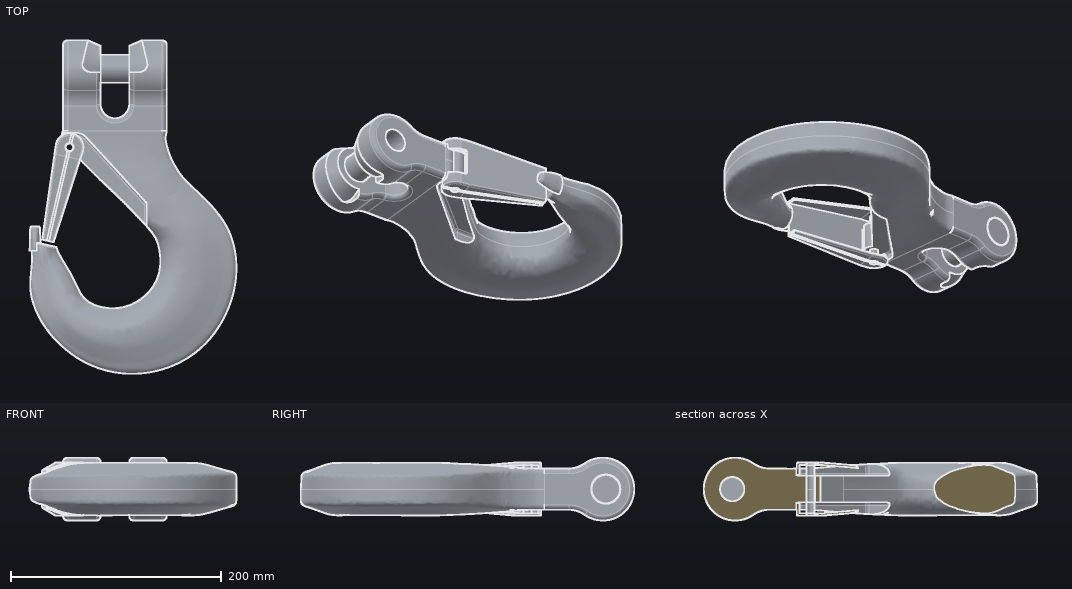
import cadquery as cq
import math


CLEVIS_HALF_WIDTH = 49.5
EAR_RADIUS = 30.07
EAR_OFFSET = -3.0
NECK_HALF_HEIGHT = 19.7
NECK_BLEND_Y = -35.3
NECK_END_Y = -59.0
EAR_EDGE_FILLET = 4.8
SLOT_WIDTH = 27.0
SLOT_END_Y = -47.0
SLOT_FILLET = 4.5

RELIEF_FACE_RADIUS = 22.0
RELIEF_SLOPE = 0.43
RELIEF_HALF_WIDTH = 31.2
RELIEF_END_Y = -3.2
RELIEF_CORNER = 8.3

PIN_DIAMETER = 27.0
PIN_HOLE_DIAMETER = 28.0
DRIVE_HOLE_DIAMETER = 23.0
PIN_SHOULDER_X = -22.3

BOWL_HALF_HEIGHT = 25.0
OUTER_RADIUS = 98.5
OUTER_CENTER = (16.7, -192.2)
INNER_RADIUS = 45.8
INNER_CENTER = (-2.2, -182.3)
FLAT_SHARE = 0.38

TIP_OUTER_X = -81.5
TIP_TOP_Y = -150.0
TIP_BASE_Y = -173.5
TIP_BASE_HALF_HEIGHT = 10.5
TIP_MIDDLE_HALF_HEIGHT = 9.2
TIP_END_HALF_HEIGHT = 4.8
TIP_BASE_HALF_DEPTH = 5.5
TIP_END_HALF_DEPTH = 4.8
TIP_END_FILLET = 2.2
SEAT_FILLET = 1.5

LUG_HALF_HEIGHT = 12.7
LUG_RADIUS = 9.5
RECESS_TOP_Y = -61.0
RECESS_CORNER_X = -31.2
RECESS_END_X = 30.5
RECESS_END_Y = -128.2
RECESS_START_FILLET = 12.7
RECESS_END_FILLET = 4.8
RECESS_FLOOR_FILLET = 2.5

PIVOT = (-43.3, -74.8)
LATCH_TILT = 13.0
LATCH_LENGTH = 91.5
LATCH_RADIUS = 13.5
LATCH_END_HALF_WIDTH = 5.7
LATCH_HALF_HEIGHT = 25.5
LATCH_END_HALF_HEIGHT = 18.5
LATCH_STRAIGHT = 9.2
LATCH_SHEET = 2.5
LATCH_EDGE_FILLET = 1.5
CREASE_WIDTH = 2.2
CREASE_DEPTH = 0.5
WINDOW_HALF_HEIGHT = 13.5
WINDOW_END_Y = -79.0
WINDOW_CORNER = 2.5
LATCH_PIN_DIAMETER = 8.0
LATCH_PIN_BORE = 7.0


def along_x(diameter, start, end):
    """A cylinder on the load pin axis."""
    return cq.Workplane("YZ").workplane(offset=start).circle(diameter / 2).extrude(end - start)


def along_pivot(diameter, half_length):
    """A cylinder on the latch pivot, centred on Z = 0."""
    return cq.Workplane("XY").center(*PIVOT).circle(diameter / 2).extrude(half_length, both=True)


def clevis_blank():
    """The ears and the neck: a Y-Z profile extruded across the width."""
    run = EAR_OFFSET - NECK_BLEND_Y
    blend_radius = (run**2 + NECK_HALF_HEIGHT**2 - EAR_RADIUS**2) / (2 * (EAR_RADIUS - NECK_HALF_HEIGHT))
    blend_z = NECK_HALF_HEIGHT + blend_radius
    share = EAR_RADIUS / (EAR_RADIUS + blend_radius)
    tangent = (EAR_OFFSET - run * share, blend_z * share)
    half_turn = math.atan2(run, blend_z) / 2
    middle = (
        NECK_BLEND_Y + blend_radius * math.sin(half_turn),
        blend_z - blend_radius * math.cos(half_turn),
    )
    return (
        cq.Workplane("YZ")
        .workplane(offset=-CLEVIS_HALF_WIDTH)
        .moveTo(NECK_END_Y, -NECK_HALF_HEIGHT)
        .lineTo(NECK_BLEND_Y, -NECK_HALF_HEIGHT)
        .threePointArc((middle[0], -middle[1]), (tangent[0], -tangent[1]))
        .threePointArc((EAR_OFFSET + EAR_RADIUS, 0), tangent)
        .threePointArc(middle, (NECK_BLEND_Y, NECK_HALF_HEIGHT))
        .lineTo(NECK_END_Y, NECK_HALF_HEIGHT)
        .close()
        .extrude(2 * CLEVIS_HALF_WIDTH)
        .faces("<X or >X")
        .edges("not <Y")
        .fillet(EAR_EDGE_FILLET)
    )


def slot_cutter():
    """The round-ended slot between the ears."""
    center_y = SLOT_END_Y + SLOT_WIDTH / 2
    half = SLOT_WIDTH / 2
    return (
        cq.Workplane("XY")
        .moveTo(half, center_y)
        .lineTo(half, EAR_RADIUS)
        .lineTo(-half, EAR_RADIUS)
        .lineTo(-half, center_y)
        .threePointArc((0, SLOT_END_Y), (half, center_y))
        .close()
        .extrude(EAR_RADIUS + 3.2, both=True)
    )


def slot_rims():
    """Selects the two closed edges where the slot leaves the ears and the neck."""
    reach = SLOT_WIDTH / 2 + 0.3
    around_slot = cq.selectors.BoxSelector(
        (-reach, SLOT_END_Y - 0.3, -2 * EAR_RADIUS),
        (reach, 2 * EAR_RADIUS, 2 * EAR_RADIUS),
        boundingbox=True,
    )
    return around_slot - cq.selectors.ParallelDirSelector(cq.Vector(0, 0, 1))


def relief_cutter():
    """Material outside the relief cones, limited to the open end of the ears."""
    reach = RELIEF_HALF_WIDTH
    end_radius = RELIEF_FACE_RADIUS + RELIEF_SLOPE * (reach - SLOT_WIDTH / 2)
    zone = (
        cq.Workplane("XY")
        .rect(2 * reach, 4 * EAR_RADIUS)
        .extrude(2 * EAR_RADIUS, both=True)
        .translate((0, RELIEF_END_Y + 2 * EAR_RADIUS, 0))
        .edges("|Z and <Y")
        .fillet(RELIEF_CORNER)
    )
    core = (
        cq.Workplane("XY")
        .moveTo(-reach, 0)
        .lineTo(-reach, end_radius)
        .lineTo(-SLOT_WIDTH / 2, RELIEF_FACE_RADIUS)
        .lineTo(SLOT_WIDTH / 2, RELIEF_FACE_RADIUS)
        .lineTo(reach, end_radius)
        .lineTo(reach, 0)
        .close()
        .revolve(360, (0, 0, 0), (1, 0, 0))
    )
    return zone.cut(core)


def bowl_points(angle):
    """The inner and outer outline points on a ray from the inner circle's centre."""
    ray = (math.cos(math.radians(angle)), math.sin(math.radians(angle)))
    offset = (OUTER_CENTER[0] - INNER_CENTER[0], OUTER_CENTER[1] - INNER_CENTER[1])
    along = offset[0] * ray[0] + offset[1] * ray[1]
    across = offset[0] * ray[1] - offset[1] * ray[0]
    outer_reach = along + math.sqrt(OUTER_RADIUS**2 - across**2)
    return [
        (INNER_CENTER[0] + reach * ray[0], INNER_CENTER[1] + reach * ray[1])
        for reach in (INNER_RADIUS, outer_reach)
    ]


def section(inner, outer, height, edge_height, inner_round, inner_rise, edge_round):
    """A closed hook section standing on the line from inner to outer.

    It is `height` tall on each side, rounded at the inner side over inner_round x inner_rise,
    and slopes to edge_height before the outer edge is rounded.
    """
    width = math.dist(inner, outer)
    across = ((outer[0] - inner[0]) / width, (outer[1] - inner[1]) / width)

    def place(s, z):
        return cq.Vector(inner[0] + s * across[0], inner[1] + s * across[1], z)

    def heading(s, z):
        return cq.Vector(s * across[0], s * across[1], z)

    crest = max(FLAT_SHARE * width, inner_round + 0.1 * width)
    slope = (width - edge_round - crest, edge_height - height)
    knots = [
        ((0, 0), (0, 1)),
        ((0, height - inner_rise), (0, 1)),
        ((inner_round, height), (1, 0)),
        ((crest, height), (1, 0)),
        ((width - edge_round, edge_height), slope),
        ((width, edge_height - edge_round), (0, -1)),
        ((width, 0), (0, -1)),
    ]
    upper = cq.Edge.makeSpline(
        [place(s, z) for (s, z), _ in knots],
        [heading(*direction) for _, direction in knots],
    )
    return cq.Wire.assembleEdges([upper, upper.mirror("XY")])


def hook_arm():
    """One smooth loft from the neck, around the bowl, to the seat of the latch."""
    neck = NECK_HALF_HEIGHT
    full = BOWL_HALF_HEIGHT
    side = CLEVIS_HALF_WIDTH
    edge = EAR_EDGE_FILLET
    stations = [
        section((-side, NECK_END_Y), (side, NECK_END_Y), neck, neck, edge, edge, edge),
        section((-side, -69.0), (side, -73.8), neck, neck, edge, edge, edge),
        section((-9.5, -109.8), (58.0, -93.2), 22.3, 19.7, 5.7, 5.7, 5.7),
        section(*bowl_points(45), 24.2, 19.0, 12.7, 11.0, 6.5),
    ]
    for angle in (20, -15, -50, -85):
        stations.append(section(*bowl_points(angle), full, 17.2, 22.3, 19.0, 6.5))
    stations += [
        section(*bowl_points(-120), 24.2, 17.0, 22.3, 19.0, 6.5),
        section((-33.7, -212.0), (-71.3, -238.5), 21.0, 15.3, 16.0, 16.5, 6.5),
        section((-42.5, -194.0), (-80.8, -206.8), 16.5, 12.7, 14.0, 14.0, 6.5),
        section((-55.0, -170.0), (-81.5, -164.0), 11.5, 9.0, 10.2, 10.0, 5.7),
    ]
    arm = cq.Workplane(cq.Solid.makeLoft(stations))
    seat = cq.selectors.NearestToPointSelector((-66.8, -166.7, 0))
    return arm.faces(seat).edges().fillet(SEAT_FILLET)


def throat_cutter():
    """Trims the shank to a flat 45 degree wall between the latch lug and the bowl."""
    tangent = bowl_points(45)[0]
    rise = tangent[0] + CLEVIS_HALF_WIDTH
    return (
        cq.Workplane("XY")
        .polyline([
            tangent,
            (-CLEVIS_HALF_WIDTH, tangent[1] + rise),
            (-CLEVIS_HALF_WIDTH, tangent[1]),
        ])
        .close()
        .extrude(2 * BOWL_HALF_HEIGHT, both=True)
    )


def hook_tip():
    """The narrow point that stands up outside the latch."""
    base_center = (TIP_OUTER_X + TIP_BASE_HALF_DEPTH, TIP_BASE_Y)
    half_run = (TIP_TOP_Y - TIP_BASE_Y) / 2
    middle_half_depth = (TIP_BASE_HALF_DEPTH + TIP_END_HALF_DEPTH) / 2
    return (
        cq.Workplane("ZX", origin=(base_center[0], base_center[1], 0))
        .ellipse(TIP_BASE_HALF_HEIGHT, TIP_BASE_HALF_DEPTH)
        .workplane(offset=half_run)
        .ellipse(TIP_MIDDLE_HALF_HEIGHT, middle_half_depth)
        .workplane(offset=half_run)
        .ellipse(TIP_END_HALF_HEIGHT, TIP_END_HALF_DEPTH)
        .loft()
        .faces(">Y")
        .edges()
        .fillet(TIP_END_FILLET)
    )


def recess_cutters():
    """The pockets above and below the latch lug, open to the throat."""
    throat_x = RECESS_END_X
    outline = (
        cq.Workplane("XY")
        .moveTo(-2 * CLEVIS_HALF_WIDTH, RECESS_TOP_Y)
        .lineTo(RECESS_CORNER_X, RECESS_TOP_Y)
        .lineTo(throat_x, RECESS_END_Y)
        .lineTo(throat_x, RECESS_END_Y - 25.5)
        .lineTo(-2 * CLEVIS_HALF_WIDTH, RECESS_TOP_Y - 6.5)
        .close()
        .extrude(BOWL_HALF_HEIGHT)
        .edges(cq.selectors.NearestToPointSelector((RECESS_CORNER_X, RECESS_TOP_Y, BOWL_HALF_HEIGHT / 2)))
        .fillet(RECESS_START_FILLET)
        .edges(cq.selectors.NearestToPointSelector((throat_x, RECESS_END_Y, BOWL_HALF_HEIGHT / 2)))
        .fillet(RECESS_END_FILLET)
        .faces("<Z")
        .edges()
        .fillet(RECESS_FLOOR_FILLET)
    )
    upper = outline.translate((0, 0, LUG_HALF_HEIGHT))
    return upper.union(upper.mirror("XY"))


def make_hook():
    clevis = clevis_blank().cut(slot_cutter())
    clevis = clevis.edges(slot_rims()).fillet(SLOT_FILLET)
    clevis = clevis.cut(relief_cutter())
    body = clevis.union(hook_arm().cut(throat_cutter())).union(hook_tip())
    body = body.cut(recess_cutters())
    body = body.union(along_pivot(2 * LUG_RADIUS, LUG_HALF_HEIGHT))
    body = body.cut(along_x(PIN_HOLE_DIAMETER, PIN_SHOULDER_X, CLEVIS_HALF_WIDTH))
    body = body.cut(along_x(DRIVE_HOLE_DIAMETER, -CLEVIS_HALF_WIDTH, PIN_SHOULDER_X))
    return body.cut(along_pivot(LATCH_PIN_DIAMETER, LATCH_HALF_HEIGHT))


def make_load_pin():
    return along_x(PIN_DIAMETER, PIN_SHOULDER_X, CLEVIS_HALF_WIDTH)


def latch_outline(inset):
    """Tapered plate with a round pivot end, inset on all sides but the free end."""
    radius = LATCH_RADIUS - inset
    end = LATCH_END_HALF_WIDTH - inset
    return (
        cq.Workplane("XY")
        .moveTo(0, -radius)
        .threePointArc((-radius, 0), (0, radius))
        .lineTo(LATCH_LENGTH, end)
        .lineTo(LATCH_LENGTH, -end)
        .close()
    )


def latch_envelope(inset):
    """Side profile of the latch: the two flanges converge towards the free end."""
    tall = LATCH_HALF_HEIGHT - inset
    low = LATCH_END_HALF_HEIGHT - inset
    return (
        cq.Workplane("XZ")
        .polyline([
            (-LATCH_RADIUS, -tall),
            (LATCH_STRAIGHT, -tall),
            (LATCH_LENGTH, -low),
            (LATCH_LENGTH, low),
            (LATCH_STRAIGHT, tall),
            (-LATCH_RADIUS, tall),
        ])
        .close()
        .extrude(3 * LATCH_RADIUS, both=True)
    )


def latch_cavity():
    """The inside of the channel, open to the throat and at the free end."""
    inside = latch_outline(LATCH_SHEET).extrude(LATCH_HALF_HEIGHT, both=True)
    opening = (
        cq.Workplane("XY")
        .box(LATCH_LENGTH + LATCH_RADIUS, 2 * LATCH_RADIUS, 2 * LATCH_HALF_HEIGHT, centered=(False, False, True))
        .translate((-LATCH_RADIUS, 0, 0))
    )
    return inside.union(opening).intersect(latch_envelope(LATCH_SHEET))


def make_latch():
    body = latch_outline(0).extrude(LATCH_HALF_HEIGHT, both=True).intersect(latch_envelope(0))
    body = body.edges("not (|Z or |Y)").fillet(LATCH_EDGE_FILLET)
    body = body.cut(latch_cavity())
    crease = (
        cq.Workplane("XY").rect(4 * LATCH_LENGTH, CREASE_WIDTH).extrude(LATCH_HALF_HEIGHT, both=True)
        .cut(latch_envelope(CREASE_DEPTH))
    )
    body = body.cut(crease)
    body = body.rotate((0, 0, 0), (0, 0, 1), -90 - LATCH_TILT).translate((*PIVOT, 0))
    window = (
        cq.Workplane("XY")
        .box(4 * LATCH_RADIUS, 2 * LATCH_RADIUS, 2 * WINDOW_HALF_HEIGHT, centered=(True, False, True))
        .edges("|X and <Y")
        .fillet(WINDOW_CORNER)
        .translate((PIVOT[0], WINDOW_END_Y, 0))
    )
    return body.cut(window).cut(along_pivot(LATCH_PIN_DIAMETER, LATCH_HALF_HEIGHT))


def make_latch_pin():
    return along_pivot(LATCH_PIN_DIAMETER, LATCH_HALF_HEIGHT).cut(along_pivot(LATCH_PIN_BORE, LATCH_HALF_HEIGHT))


hook = make_hook()
load_pin = make_load_pin()
latch = make_latch()
latch_pin = make_latch_pin()

result = cq.Compound.makeCompound([hook.val(), load_pin.val(), latch.val(), latch_pin.val()])